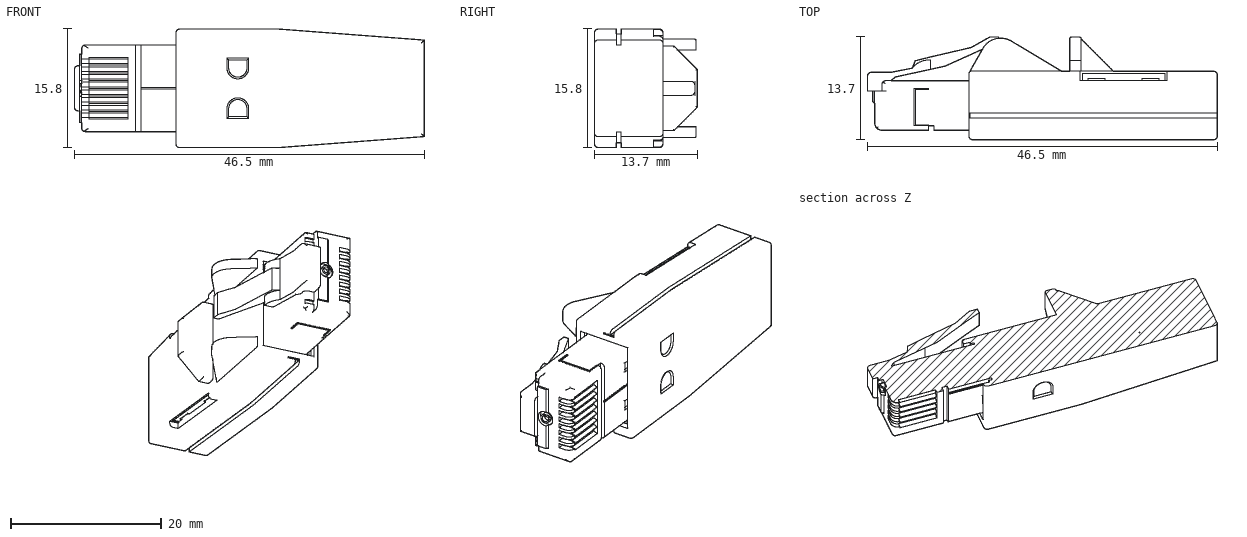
import cadquery as cq


HOUSING_FRONT = 13.5
HOUSING_END = 46.55
TAPER_START = 27.23
HOUSING_WIDTH = 15.8
HOUSING_HALF = HOUSING_WIDTH / 2
END_HALF = 6.4
HOUSING_TOP = 9.1
HOUSING_FILLET = 0.5
FRONT_TOP_FILLET = 0.33
OVERALL_TOP = 13.7

GROOVE_LOW = 2.95
GROOVE_HIGH = 3.55
GROOVE_DEPTH = 0.65
SLIT_TOP = 4.55
SLIT_WIDTH = 0.15
SLIT_DEPTH = 0.2

OPENING_LOW = 0.75
OPENING_HIGH = 8.3
OPENING_HALF = 6.25
OPENING_DEPTH = 0.95
SEAT_STEP = 0.3
SEAT_DEPTH = 0.45
PLUG_END = HOUSING_FRONT + OPENING_DEPTH + SEAT_DEPTH

RECESS_START = 28.3
RECESS_END = 39.85
RECESS_FLOOR = 7.85
RECESS_DEPTH = 0.8
RECESS_BORDER = 0.3
INNER_RECESS_DEPTH = 0.15
CLIP_SLOT_STARTS = (29.35, 36.55)
CLIP_SLOT_LENGTH = 2.25
CLIP_SLOT_HEIGHT = 0.3
CLIP_SLOT_DEPTH = 0.25

MARK_START = 20.3
MARK_WIDTH = 2.9
MARK_FLAT = 4.0
MARK_STRAIGHT = 1.3
MARK_DEPTH = 0.25
MARK_DRAFT = 45.0

PLUG_FRONT = 1.0
PLUG_LOW = 1.25
PLUG_TOP = 7.85
PLUG_HALF = 5.75
PLUG_FRONT_FILLET = 1.0
PLUG_FILLET = 0.5
LEDGE_X = 1.95
LEDGE_Y = 6.45
LEDGE_NOTCH_Z = 4.55
LEDGE_NOTCH_WIDTH = 0.55
LEDGE_NOTCH_TOP = 7.73
LEDGE_NOTCH_DEPTH = 0.3
SHIELD_X = 6.25
SHIELD_LOW = 1.9
SHIELD_TOP = 6.85
SEAM_WIDTH = 0.2
SEAM_DEPTH = 0.15
FINE_SEAM_WIDTH = 0.1
PLUG_GROOVE_START = 8.15
PLUG_GROOVE_WIDTH = 0.7
PLUG_GROOVE_DEPTH = 0.6
WINDOW_START = 13.65
WINDOW_Z = 2.95
WINDOW_WIDTH = 1.4
WINDOW_DEPTH = 0.35

CONTACT_COUNT = 8
CONTACT_PITCH = 1.02
CONTACT_WIDTH = 0.6
CONTACT_FLOOR = 1.8
CONTACT_TOP = 3.15
CONTACT_END = 7.15

PLATE_FRONT = 0.7
PLATE_LOW = 4.85
PLATE_HALF = 4.55
GATE_Y = 5.25
GATE_RADIUS = 1.05
GATE_RING_RADIUS = 0.65
GATE_HOLE_RADIUS = 0.4
GATE_DEPTH = 0.55

LATCH_HALF = 3.03
STRIP_HALF = 1.65
HEAD_TOP = 9.0
HEAD_FILLET = 0.55
STRIP_START = (3.15, HEAD_TOP)
STRIP_UNDERSIDE = (3.7, 8.35)
WING_TOE = (5.95, 9.55)
WING_ARC_MIDDLE = (7.0, 10.35)
WING_END = 8.42
WING_TOP = 10.6
WING_LOW = 9.35
STRIP_UPPER_BENDS = ((6.38, 10.5), (WING_END, 11.05), (13.8, 12.3))
PEAK_START = 16.3
LATCH_END = 17.45
STRIP_LOWER_BENDS = ((LATCH_END, 12.95), (15.1, 11.9), (10.35, 9.77))

GUARD_INNER = 5.05
GUARD_OUTER = 6.55
GUARD_EDGE_FILLET = 0.25
GUARD_FRONT = 13.65
GUARD_END = 25.85
GUARD_ARC = ((15.35, 12.15), (17.13, 13.45), (19.3, 13.05))

TAB_FRONT = 26.9
TAB_THICK = 1.55
TAB_TIP_HALF = 2.5
TAB_BASE_HALF = 5.65
TAB_EDGE = 0.3
RIB_HALF = 0.95
RIB_CORNER_FILLET = 0.55


def box(x0, x1, y0, y1, z0, z1):
    return cq.Workplane("XY").box(x1 - x0, y1 - y0, z1 - z0, centered=False).translate((x0, y0, z0))


def side_plate(points, z0, z1):
    """Extrude an XY outline between two Z levels."""
    return cq.Workplane("XY").workplane(offset=z0).polyline(points).close().extrude(z1 - z0)


def both_sides(shape):
    return shape.union(shape.mirror("XY"))


def housing_half_width(x):
    taper = (HOUSING_HALF - END_HALF) / (HOUSING_END - TAPER_START)
    return HOUSING_HALF - taper * max(0, x - TAPER_START)


def housing_prism(inset, y0, y1):
    """Tapered outline with its flanks moved inward by inset, between two Y levels."""
    stations = (HOUSING_FRONT, TAPER_START, HOUSING_END)
    flank = [(x, housing_half_width(x) - inset) for x in stations]
    outline = flank + [(x, -z) for x, z in reversed(flank)]
    return cq.Workplane("XZ").polyline(outline).close().extrude(y0 - y1).translate((0, y0, 0))


def make_housing():
    body = housing_prism(0, 0, HOUSING_TOP)
    front_top_edge = cq.selectors.BoxSelector((HOUSING_FRONT - 0.45, HOUSING_TOP - 0.45, -0.45),
                                              (HOUSING_FRONT + 0.45, HOUSING_TOP + 0.45, 0.45))
    rim_edges = cq.StringSyntaxSelector("<X or <Y or >Y")
    body = body.edges(cq.selectors.SubtractSelector(rim_edges, front_top_edge)).fillet(HOUSING_FILLET)
    body = body.edges(front_top_edge).fillet(FRONT_TOP_FILLET)
    groove = housing_prism(0, GROOVE_LOW, GROOVE_HIGH)
    groove = groove.cut(housing_prism(GROOVE_DEPTH, GROOVE_LOW, GROOVE_HIGH))
    slit_top_z = HOUSING_HALF - GROOVE_DEPTH
    slit = box(HOUSING_FRONT, HOUSING_FRONT + SLIT_DEPTH, GROOVE_LOW, SLIT_TOP,
               slit_top_z - SLIT_WIDTH, slit_top_z)
    opening = box(HOUSING_FRONT, HOUSING_FRONT + OPENING_DEPTH, OPENING_LOW, OPENING_HIGH,
                  -OPENING_HALF, OPENING_HALF)
    seat = box(HOUSING_FRONT, PLUG_END, OPENING_LOW + SEAT_STEP, OPENING_HIGH - SEAT_STEP,
               SEAT_STEP - OPENING_HALF, OPENING_HALF - SEAT_STEP)
    return body.cut(groove).cut(both_sides(slit)).cut(opening).cut(seat)


def flank_strip(x0, x1, y0, y1, depth):
    """Strip that follows the tapered flank of the +Z side to the given depth."""
    ends = [(x0, housing_half_width(x0)), (x1, housing_half_width(x1))]
    floor = [(x, z - depth) for x, z in reversed(ends)]
    return cq.Workplane("XZ").polyline(ends + floor).close().extrude(y0 - y1).translate((0, y0, 0))


def make_side_recesses():
    recess = flank_strip(RECESS_START, RECESS_END, RECESS_FLOOR, HOUSING_TOP, RECESS_DEPTH)
    inner_depth = RECESS_DEPTH + INNER_RECESS_DEPTH
    recess = recess.union(flank_strip(RECESS_START + RECESS_BORDER, RECESS_END - RECESS_BORDER,
                                      RECESS_FLOOR, HOUSING_TOP - RECESS_BORDER, inner_depth))
    for start in CLIP_SLOT_STARTS:
        recess = recess.union(flank_strip(start, start + CLIP_SLOT_LENGTH, RECESS_FLOOR,
                                          RECESS_FLOOR + CLIP_SLOT_HEIGHT, inner_depth + CLIP_SLOT_DEPTH))
    return both_sides(recess)


def make_marks():
    radius = MARK_WIDTH / 2
    round_z = MARK_FLAT - MARK_STRAIGHT
    mark_end = MARK_START + MARK_WIDTH
    mark = (cq.Workplane("XZ").moveTo(MARK_START, MARK_FLAT).lineTo(mark_end, MARK_FLAT)
            .lineTo(mark_end, round_z)
            .threePointArc((MARK_START + radius, round_z - radius), (MARK_START, round_z))
            .close().extrude(-MARK_DEPTH, taper=MARK_DRAFT))
    return both_sides(mark)


def make_nose_profile():
    """Side profile that rounds the plug's leading edge on the contact face."""
    profile = box(PLUG_FRONT, PLUG_END, PLUG_LOW, PLUG_TOP, -PLUG_HALF, PLUG_HALF)
    return profile.edges("|Z and <X and <Y").fillet(PLUG_FRONT_FILLET)


def make_plug():
    lower = box(PLUG_FRONT, PLUG_END, PLUG_LOW, LEDGE_Y, -PLUG_HALF, PLUG_HALF)
    lower = lower.edges("|Y and <X").fillet(PLUG_FILLET)
    upper = box(LEDGE_X, PLUG_END, LEDGE_Y, PLUG_TOP, -PLUG_HALF, PLUG_HALF)
    upper = upper.edges("<X and (|Y or >Y)").fillet(PLUG_FILLET)
    rounded = box(PLUG_FRONT, PLUG_END, PLUG_LOW, PLUG_TOP, -PLUG_HALF, PLUG_HALF)
    rounded = rounded.edges("|X").fillet(PLUG_FILLET).intersect(make_nose_profile())
    plug = lower.union(upper).intersect(rounded)
    notch = box(LEDGE_X, LEDGE_X + LEDGE_NOTCH_DEPTH, LEDGE_Y, LEDGE_NOTCH_TOP,
                LEDGE_NOTCH_Z - LEDGE_NOTCH_WIDTH / 2, LEDGE_NOTCH_Z + LEDGE_NOTCH_WIDTH / 2)
    return plug.cut(both_sides(notch))


def make_plug_seams():
    groove_end = PLUG_GROOVE_START + PLUG_GROOVE_WIDTH
    groove = box(PLUG_GROOVE_START, groove_end, PLUG_LOW, PLUG_LOW + PLUG_GROOVE_DEPTH, -PLUG_HALF, PLUG_HALF)
    middle = box(groove_end, PLUG_END, PLUG_LOW, PLUG_LOW + SEAM_DEPTH,
                 -SEAM_WIDTH / 2, SEAM_WIDTH / 2)
    seam_floor = PLUG_HALF - SEAM_DEPTH
    front = box(SHIELD_X, SHIELD_X + SEAM_WIDTH, SHIELD_LOW, SHIELD_TOP, seam_floor, PLUG_HALF)
    top = box(SHIELD_X, PLUG_GROOVE_START, SHIELD_TOP - SEAM_WIDTH, SHIELD_TOP, seam_floor, PLUG_HALF)
    bottom = box(SHIELD_X, PLUG_GROOVE_START, SHIELD_LOW, SHIELD_LOW + FINE_SEAM_WIDTH, seam_floor, PLUG_HALF)
    return groove.union(middle).union(both_sides(front.union(top).union(bottom)))


def make_shield_windows():
    """Pair of small windows in the contact face, just inside the housing opening."""
    window = box(WINDOW_START, PLUG_END, PLUG_LOW, PLUG_LOW + WINDOW_DEPTH,
                 WINDOW_Z - WINDOW_WIDTH / 2, WINDOW_Z + WINDOW_WIDTH / 2)
    return both_sides(window)


def make_contact_slot():
    """Deep front pocket followed by a shallower slot that widens towards the flat face."""
    half = CONTACT_WIDTH / 2
    pocket = box(PLUG_FRONT, LEDGE_X, PLUG_LOW, CONTACT_TOP, -half, half)
    section = [(PLUG_LOW, -CONTACT_PITCH / 2), (PLUG_LOW, CONTACT_PITCH / 2),
               (CONTACT_FLOOR, half), (CONTACT_FLOOR, -half)]
    channel = cq.Workplane("YZ").polyline(section).close().extrude(CONTACT_END - LEDGE_X)
    return pocket.union(channel.translate((LEDGE_X, 0, 0)))


def gate_cylinder(radius):
    disc = cq.Workplane("YZ").center(GATE_Y, 0).circle(radius).extrude(GATE_DEPTH)
    return disc.translate((PLATE_FRONT, 0, 0))


def make_front_plate():
    outline = [(PLATE_FRONT, LEDGE_Y), (LEDGE_X, LEDGE_Y), (LEDGE_X, PLATE_LOW),
               (PLUG_FRONT, PLATE_LOW), (PLATE_FRONT, PLATE_LOW + PLUG_FRONT - PLATE_FRONT)]
    return side_plate(outline, -PLATE_HALF, PLATE_HALF)


def make_latch():
    head = box(0, LEDGE_X + HEAD_FILLET, LEDGE_Y, HEAD_TOP, -LATCH_HALF, LATCH_HALF)
    head = head.edges("<X and (>Y or |Y)").fillet(HEAD_FILLET)
    strip_foot = [(STRIP_START[0], PLUG_TOP), (STRIP_START[0], LEDGE_Y)]
    strip_outline = [(LEDGE_X, LEDGE_Y), (LEDGE_X, HEAD_TOP), STRIP_START, WING_TOE, *STRIP_UPPER_BENDS,
                     (PEAK_START, OVERALL_TOP), (LATCH_END, OVERALL_TOP), *STRIP_LOWER_BENDS,
                     STRIP_UNDERSIDE, *strip_foot]
    strip = side_plate(strip_outline, -STRIP_HALF, STRIP_HALF)
    wings = (cq.Workplane("XY").workplane(offset=-LATCH_HALF).moveTo(LEDGE_X, LEDGE_Y)
             .lineTo(LEDGE_X, HEAD_TOP).lineTo(*STRIP_START).lineTo(*WING_TOE)
             .threePointArc(WING_ARC_MIDDLE, (WING_END, WING_TOP)).lineTo(WING_END, WING_LOW)
             .lineTo(*STRIP_UNDERSIDE).lineTo(STRIP_START[0], PLUG_TOP).lineTo(STRIP_START[0], LEDGE_Y)
             .close().extrude(2 * LATCH_HALF))
    return head.union(strip).union(wings)


def make_guards():
    root_y = HOUSING_TOP - HOUSING_FILLET
    arc_start, arc_middle, arc_end = GUARD_ARC
    guard = (cq.Workplane("XY").workplane(offset=GUARD_INNER).moveTo(GUARD_FRONT, root_y)
             .lineTo(GUARD_FRONT, HOUSING_TOP).lineTo(*arc_start)
             .threePointArc(arc_middle, arc_end)
             .lineTo(GUARD_END, HOUSING_TOP).lineTo(GUARD_END, root_y).close()
             .extrude(GUARD_OUTER - GUARD_INNER))
    guard = guard.faces(">Z").edges(">Y").fillet(GUARD_EDGE_FILLET)
    return both_sides(guard)


def make_tab():
    slope_y = OVERALL_TOP - (TAB_BASE_HALF - TAB_TIP_HALF)
    flank = [(HOUSING_TOP, TAB_BASE_HALF), (slope_y, TAB_BASE_HALF), (OVERALL_TOP, TAB_TIP_HALF)]
    outline = flank + [(y, -z) for y, z in reversed(flank)]
    plate = cq.Workplane("YZ").polyline(outline).close().extrude(TAB_THICK).translate((TAB_FRONT, 0, 0))
    plate = plate.faces("<X or >X").edges("not <Y").fillet(TAB_EDGE)
    tab_back = TAB_FRONT + TAB_THICK
    rib_height = OVERALL_TOP - HOUSING_TOP - TAB_EDGE
    rib_outline = [(tab_back - TAB_EDGE, HOUSING_TOP), (tab_back - TAB_EDGE, HOUSING_TOP + rib_height),
                   (tab_back, HOUSING_TOP + rib_height), (tab_back + rib_height, HOUSING_TOP)]
    tab = plate.union(side_plate(rib_outline, -RIB_HALF, RIB_HALF))
    root = cq.selectors.BoxSelector((tab_back - TAB_EDGE, HOUSING_TOP, -RIB_HALF - TAB_EDGE),
                                    (tab_back + TAB_EDGE, OVERALL_TOP, RIB_HALF + TAB_EDGE))
    return tab.edges("|Y").edges(root).fillet(RIB_CORNER_FILLET)


plug = make_plug().cut(make_plug_seams()).cut(make_shield_windows()).union(make_front_plate())
for index in range(CONTACT_COUNT):
    offset = (index - (CONTACT_COUNT - 1) / 2) * CONTACT_PITCH
    plug = plug.cut(make_contact_slot().translate((0, 0, offset)))
gate = gate_cylinder(GATE_RADIUS)
gate = gate.cut(gate_cylinder(GATE_RING_RADIUS)).union(gate_cylinder(GATE_HOLE_RADIUS))
plug = plug.cut(gate)

housing = make_housing().cut(make_side_recesses()).cut(make_marks())
result = housing.union(plug).union(make_latch()).union(make_guards()).union(make_tab())